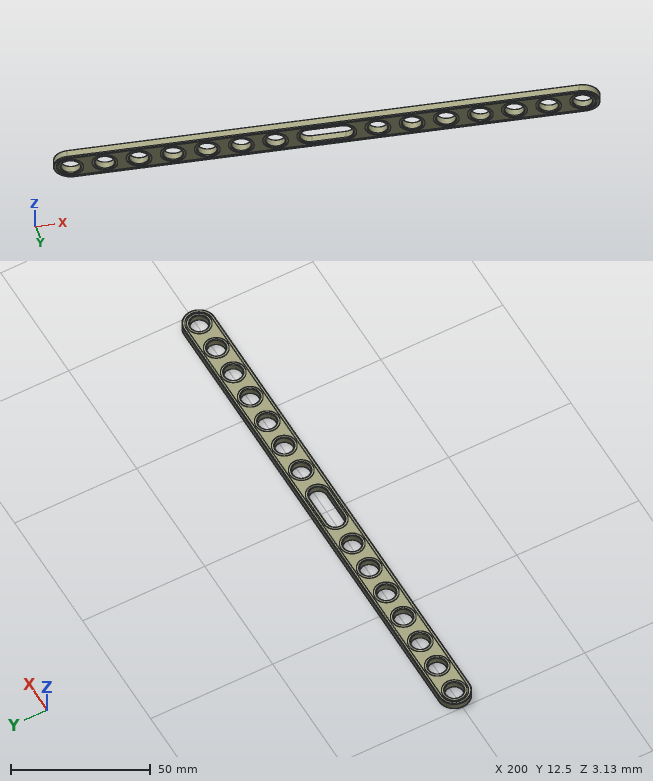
import cadquery as cq

length = 200.0
cell_count = 16
pitch = length / cell_count
width = pitch
thickness = pitch / 4

hole_diameter = 7.0
collar_diameter = 9.2

rim_width = (collar_diameter - hole_diameter) / 2
recess_depth = 0.2

edge_chamfer = 0.3

slot_cells = (cell_count // 2 - 1, cell_count // 2)


def cell_x(index):
    """X position of the centre of a cell, counted from the -X end."""
    return (index - (cell_count - 1) / 2) * pitch


hole_points = [(cell_x(i), 0) for i in range(cell_count) if i not in slot_cells]


def opening_shapes(diameter, bottom, height, taper=0):
    """Solids in the shape of every hole and the slot, all of one width."""
    plane = cq.Workplane("XY").workplane(offset=bottom)
    holes = plane.pushPoints(hole_points).circle(diameter / 2).extrude(height, taper=taper)
    slot = plane.slot2D(pitch + diameter, diameter).extrude(height, taper=taper)
    return holes.union(slot)


def recess(bottom):
    """Cutter for the recess of one face, starting at the given height."""
    plane = cq.Workplane("XY").workplane(offset=bottom)
    return plane.slot2D(length - 2 * rim_width, width - 2 * rim_width).extrude(recess_depth)


bar = cq.Workplane("XY").slot2D(length, width).extrude(thickness)
bar = bar.faces("<Z or >Z").chamfer(edge_chamfer)
bar = bar.cut(recess(0)).cut(recess(thickness - recess_depth))

bar = bar.union(opening_shapes(collar_diameter, 0, thickness))
bar = bar.cut(opening_shapes(hole_diameter, 0, thickness))

mouth_diameter = hole_diameter + 2 * edge_chamfer
bar = bar.cut(opening_shapes(mouth_diameter, thickness, -edge_chamfer, taper=45))
bar = bar.cut(opening_shapes(mouth_diameter, 0, edge_chamfer, taper=45))

result = bar